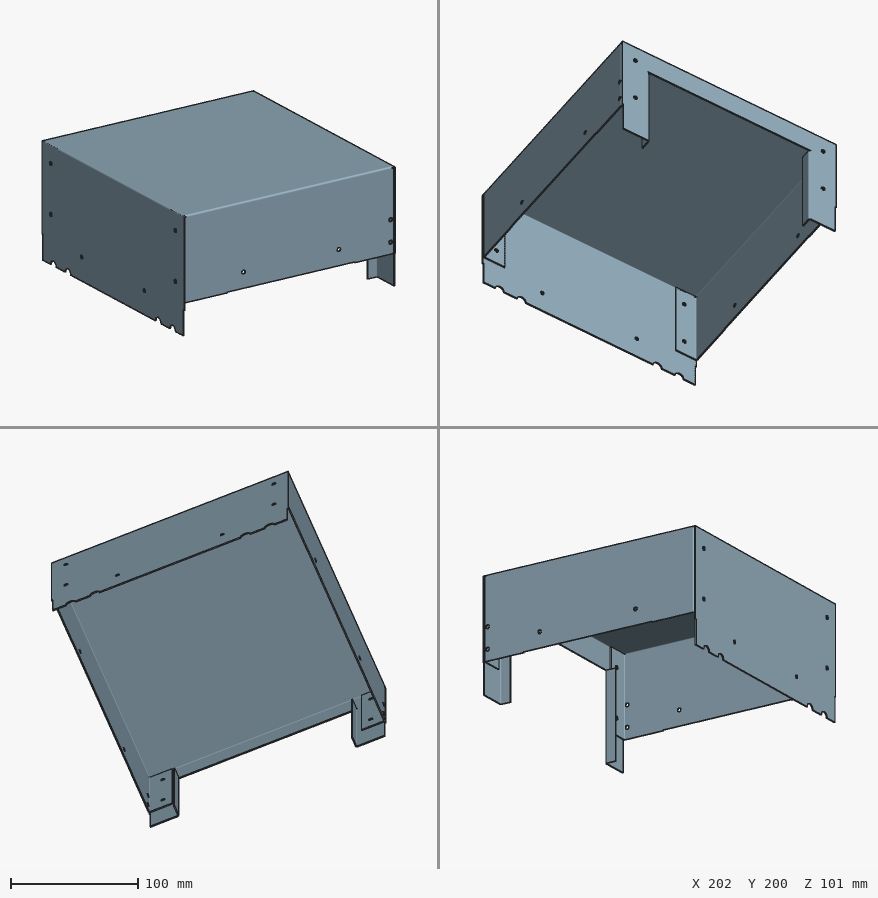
import cadquery as cq

width = 202.0
depth = 200.0
height = 101.0
sheet = 1.0
bend_radius = 1.6
inner_bend_radius = bend_radius - sheet

side_bottom = 27.7
side_step = 0.6
side_clearance = 0.2
side_center_y = 1.6
side_step_length = 120.6
return_flange_width = 20.2

front_step_height = 21.6
end_step_inset = 1.0

opening_half_width = 75.4
opening_height = 78.8
rear_flange_depth = 9.7

corner_hole_diameter = 3.2
corner_hole_x = 88.7
corner_hole_heights = (42.2, 85.0)
front_hole_diameter = 3.0
front_hole_x = 44.6
front_hole_height = 20.5
notch_diameter = 8.0
notch_positions = (64.2, 84.8)
side_hole_diameter = 3.2
side_hole_offset = 45.0
side_hole_height = 42.0
rear_side_hole_diameter = 3.2
rear_side_hole_y = 95.5
rear_side_hole_heights = (37.8, 56.8)

side_length = depth - 2 * (sheet + side_clearance)
hole_reach = 3 * sheet


def block(x_min, x_max, y_min, y_max, z_min, z_max):
    """Box given by its limits along each axis."""
    size = (x_max - x_min, y_max - y_min, z_max - z_min)
    return cq.Workplane("XY").box(*size, centered=False).translate((x_min, y_min, z_min))


def make_end_fold():
    """Top sheet folded down into the front and rear walls."""
    outer = (
        block(-width / 2, width / 2, -depth / 2, depth / 2, 0, height)
        .edges("|X and >Z")
        .fillet(bend_radius)
    )
    inner = (
        block(-width / 2, width / 2, -depth / 2 + sheet, depth / 2 - sheet, 0, height - sheet)
        .edges("|X and >Z")
        .fillet(inner_bend_radius)
    )
    return outer.cut(inner)


def make_side_fold():
    """Side walls folded down from the top, with returns behind the end walls."""
    outer = (
        block(-width / 2, width / 2, -side_length / 2, side_length / 2, side_bottom, height)
        .edges("|Z or (|Y and >Z)")
        .fillet(bend_radius)
    )
    inner = (
        block(-width / 2 + sheet, width / 2 - sheet, -side_length / 2 + sheet, side_length / 2 - sheet,
              side_bottom, height - sheet)
        .edges("|Z or (|Y and >Z)")
        .fillet(inner_bend_radius)
    )
    flange_end = width / 2 - return_flange_width
    gap = block(-flange_end, flange_end, -depth, depth, side_bottom, height - sheet)
    middle = block(-width, width, side_center_y - side_step_length / 2, side_center_y + side_step_length / 2,
                   side_bottom, side_bottom + side_step)
    return outer.cut(inner).cut(gap).cut(middle)


def make_end_steps():
    """Cutters for the narrow lower part of the end walls."""
    edge = width / 2 - end_step_inset
    right = block(edge, width / 2, -depth / 2, 0, 0, front_step_height)
    right = right.union(block(edge, width / 2, 0, depth / 2, 0, side_bottom))
    return right.union(right.mirror("YZ"))


def make_rear_flange():
    """Inward flange with a rounded fold along one edge of the rear opening."""
    inner_x = opening_half_width
    rear_y = depth / 2
    front_y = rear_y - rear_flange_depth
    overlap_length = 2 * bend_radius
    outer = block(inner_x, inner_x + overlap_length, front_y, rear_y, 0, opening_height)
    outer = outer.edges("|Z and <X and >Y").fillet(bend_radius)
    inner = block(inner_x + sheet, inner_x + overlap_length, front_y, rear_y - sheet, 0, opening_height)
    inner = inner.edges("|Z and <X and >Y").fillet(inner_bend_radius)
    return outer.cut(inner)


def y_hole(diameter, x, y, z):
    """Cutter along Y through a wall around the given point."""
    start = cq.Vector(x, y - hole_reach, z)
    return cq.Solid.makeCylinder(diameter / 2, 2 * hole_reach, start, cq.Vector(0, 1, 0))


def x_hole(diameter, x, y, z):
    """Cutter along X through a wall around the given point."""
    start = cq.Vector(x - hole_reach, y, z)
    return cq.Solid.makeCylinder(diameter / 2, 2 * hole_reach, start, cq.Vector(1, 0, 0))


def make_holes():
    """Cutters for every round hole and bottom notch."""
    cutters = []
    front_y = -depth / 2
    for side in (-1, 1):
        for z in corner_hole_heights:
            for end in (-1, 1):
                cutters.append(y_hole(corner_hole_diameter, side * corner_hole_x, end * depth / 2, z))
        cutters.append(y_hole(front_hole_diameter, side * front_hole_x, front_y, front_hole_height))
        for x in notch_positions:
            cutters.append(y_hole(notch_diameter, side * x, front_y, 0))
        wall_x = side * width / 2
        for offset in (-side_hole_offset, side_hole_offset):
            cutters.append(x_hole(side_hole_diameter, wall_x, side_center_y + offset, side_hole_height))
        for z in rear_side_hole_heights:
            cutters.append(x_hole(rear_side_hole_diameter, wall_x, rear_side_hole_y, z))
    return cutters


opening_edge = opening_half_width + bend_radius
rear_opening = block(-opening_edge, opening_edge, depth / 2 - sheet, depth / 2, 0, opening_height)
rear_flange = make_rear_flange()

end_fold = make_end_fold().cut(make_end_steps()).cut(rear_opening)
envelope = (
    block(-width / 2, width / 2, -depth / 2, depth / 2, 0, height)
    .edges("(|X or |Y) and >Z")
    .fillet(bend_radius)
)
result = end_fold.union(make_side_fold()).intersect(envelope)
result = result.union(rear_flange).union(rear_flange.mirror("YZ"))
for cutter in make_holes():
    result = result.cut(cq.Workplane(cutter))